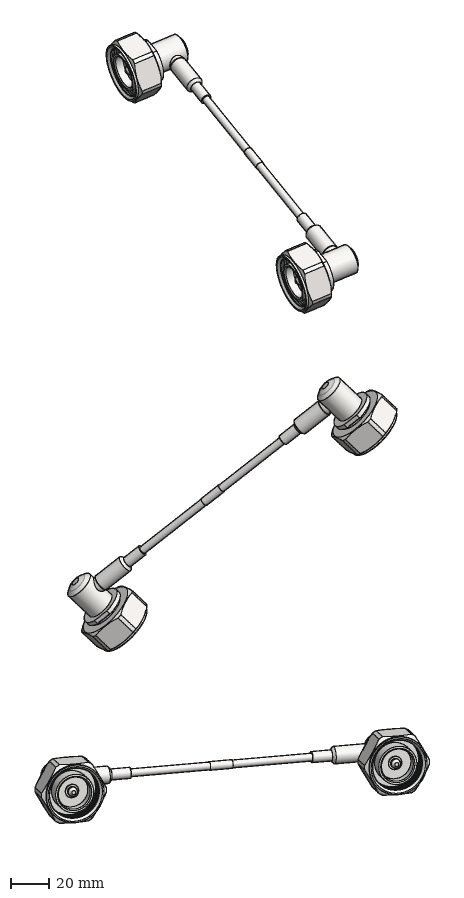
import cadquery as cq

overall_length = 211.6
mid_x = overall_length / 2

nut_corner_radius = 17.8
nut_across_corners = 36.8
nut_rim_radius = 15.7
nut_rim_length = 1.3
nut_back = 15.0
nut_chamfer_length = 1.0
nut_bore_radius = 13.5
nut_bore_depth = 8.5
nut_mouth_radius = 14.8
nut_mouth_depth = 1.3
thread_pitch = 1.0
thread_depth = 0.8
thread_turns = 5
thread_lead_in = 0.5

plug_x = nut_corner_radius
collar_radius = 10.4
socket_front = 1.0
socket_radius = 8.7
socket_floor = 6.1
socket_chamfer = 0.6
flange_front = 16.3
flange_back = 18.8
flange_radius = 11.6
flange_across_flats = 21.5
barrel_radius = 8.0
barrel_shoulder = 35.5
cap_cone_radius = 5.5
cap_cone_base = 37.2
cap_tip_radius = 2.3
barrel_end = 38.3

boss_radius = 3.5
boss_front = 5.5
pin_radius = 2.5
pin_tip_radius = 1.0
pin_front = 2.8
pin_taper = 1.5

arm_y = 28.8
neck_radius = 4.2
ferrule_radius = 4.7
ferrule_start = 9.3
ferrule_end = 28.0
ferrule_chamfer = 1.5
sleeve_radius = 3.0
sleeve_end = 38.5

cable_radius = 2.1
label_radius = 2.3
label_length = 12.3


def disc(radius, start, end):
    """Cylinder on the Y axis between two Y positions."""
    return cq.Workplane("XZ", origin=(0, start, 0)).circle(radius).extrude(start - end)


def rod(radius, start, end):
    """Cylinder along X at the height of the side arm."""
    return cq.Workplane("YZ", origin=(start, arm_y, 0)).circle(radius).extrude(end - start)


def turned(points):
    """Solid of revolution about the Y axis from (radius, y) points."""
    return cq.Workplane("XY").polyline(points).close().revolve(360, (0, 0, 0), (0, 1, 0))


def make_nut():
    hexagon = cq.Workplane("XZ").polygon(6, nut_across_corners).extrude(-nut_back)
    envelope = turned([
        (0, 0),
        (nut_rim_radius, 0),
        (nut_rim_radius, nut_rim_length),
        (nut_corner_radius, nut_rim_length + nut_chamfer_length),
        (nut_corner_radius, nut_back - nut_chamfer_length),
        (nut_rim_radius, nut_back),
        (0, nut_back),
    ])
    cavity = turned([
        (0, 0),
        (nut_mouth_radius, 0),
        (nut_bore_radius, nut_mouth_depth),
        (nut_bore_radius, nut_bore_depth),
        (collar_radius, nut_bore_depth),
        (collar_radius, nut_back),
        (0, nut_back),
    ])
    nut = hexagon.intersect(envelope).cut(cavity)
    thread_start = nut_mouth_depth + thread_lead_in
    for turn in range(thread_turns):
        nut = nut.cut(make_thread_groove(thread_start + turn * thread_pitch))
    return nut


def make_thread_groove(start):
    """Ring with a V section that cuts one thread groove into the nut's bore."""
    return turned([
        (nut_bore_radius, start),
        (nut_bore_radius + thread_depth, start + thread_pitch / 2),
        (nut_bore_radius, start + thread_pitch),
    ])


def make_flange():
    flats = cq.Workplane("XY").box(2 * flange_radius, 2 * flange_back, flange_across_flats)
    return disc(flange_radius, flange_front, flange_back).intersect(flats)


def make_barrel():
    return turned([
        (0, flange_front),
        (barrel_radius, flange_front),
        (barrel_radius, barrel_shoulder),
        (cap_cone_radius, cap_cone_base),
        (cap_tip_radius, barrel_end),
        (0, barrel_end),
    ])


def make_pin():
    return turned([
        (0, pin_front),
        (pin_tip_radius, pin_front),
        (pin_radius, pin_front + pin_taper),
        (pin_radius, boss_front),
        (boss_radius, boss_front),
        (boss_radius, socket_floor),
        (0, socket_floor),
    ])


def make_arm():
    neck = rod(neck_radius, 0, ferrule_start)
    ferrule = rod(ferrule_radius, ferrule_start, ferrule_end).faces(">X").chamfer(ferrule_chamfer)
    sleeve = rod(sleeve_radius, ferrule_end, sleeve_end)
    return neck.union(ferrule).union(sleeve)


def make_plug():
    socket = disc(collar_radius, socket_front, flange_front).cut(
        disc(socket_radius, socket_front, socket_floor)
    )
    socket = socket.faces("<Y").edges(cq.selectors.RadiusNthSelector(0)).chamfer(socket_chamfer)
    return socket.union(make_flange()).union(make_barrel()).union(make_pin()).union(make_arm())


def make_cable():
    cable_start = plug_x + sleeve_end
    cable = rod(cable_radius, cable_start, overall_length - cable_start)
    label = rod(label_radius, mid_x - label_length / 2, mid_x + label_length / 2)
    return cable.union(label)


bodies = [make_cable().val()]
for make_body in (make_nut, make_plug):
    left_body = make_body().translate((plug_x, 0, 0))
    right_body = left_body.mirror("YZ", (mid_x, 0, 0))
    bodies += [left_body.val(), right_body.val()]

result = cq.Compound.makeCompound(bodies)